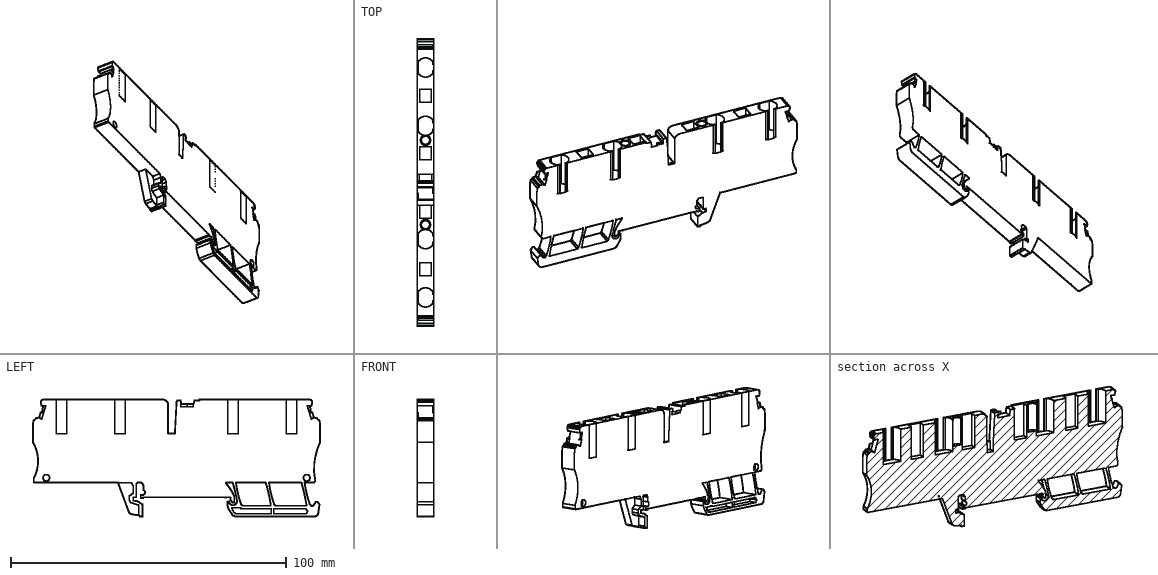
import cadquery as cq

WIDTH = 6.1
LENGTH = 104.4
HEIGHT = 42.6
HALF_LENGTH = LENGTH / 2
LEFT_FACE = -WIDTH / 2
EPS = 0.1

UNDERSIDE_Z = 12.3
PEDESTAL_Z = 7.0
SIDE_TOP_Z = 33.3
SIDE_BOTTOM_Z = 27.0

SLOT_FLOOR_Z = 30.3
SLOT_BACK_Y = 3.0
SLOT_FRONT_Y = 0.6
SLOT_POCKET_WIDTH = 4.4
SLOT_POCKET_BACK_Y = 2.9
SLOT_POCKET_DEPTH = 3.1

LIP = 0.3
END_RECESS_TOP_Z = 40.2
END_RECESS_SPLIT_Z = 37.8
END_RECESS_BOTTOM_Z = 35.4
END_RECESS_TOP_DEPTH = 4.7
END_RECESS_BOTTOM_DEPTH = 3.2
TOP_LEDGE_Z = 40.9
TOP_RECESS_Z = 40.0
TOP_RECESS_BACK_Y = -1.5
TOP_RECESS_SPLIT_Y = -4.0
TOP_RECESS_FRONT_Y = -6.2

FUNNEL_YS = (20.6, 41.7)
FUNNEL_LENGTH = 7.0
FUNNEL_ROUND_DIAMETER = 6.3
FUNNEL_WIDTH = 5.4
FUNNEL_DEPTH = 12.5
FUNNEL_SLIT = 2.3
RELEASE_YS = (10.6, 31.5)
RELEASE_SIZE_X = 4.3
RELEASE_SIZE_Y = 4.8
RELEASE_DEPTH = 12.5
TEST_HOLE_Y = 15.3
TEST_HOLE_DIAMETER = 3.0
TEST_HOLE_RIM_DIAMETER = 3.7
TEST_HOLE_RIM_DEPTH = 0.2
TEST_HOLE_DEPTH = 10.4

PIN_Y = 47.3
PIN_Z = 14.1
PIN_DIAMETER = 2.4
PIN_DEPTH = 1.4

WEB_THICKNESS = WIDTH / 2
FOOT_TOP_Z = 4.0
RIB_THICKNESS = 1.3
RIB_WAIST = 0.16
RIB_LEAN = 1.9
RIB_GUSSET = 0.5
RIB_TOP_YS = (-20.3, -32.3, -45.3)
FOOT_POCKET_BOTTOM_Z = 1.0
FOOT_POCKET_TOP_Z = 2.9


def side_sketch(x=LEFT_FACE):
    """Sketch plane across the width: local axes are Y and Z, extrusion runs toward +X."""
    return cq.Workplane("YZ", origin=(x, 0, 0))


def prism(points, x=LEFT_FACE, width=WIDTH):
    return side_sketch(x).polyline(points).close().extrude(width)


def both_ways(ys):
    return [sign * y for y in ys for sign in (1, -1)]


def housing():
    corner = [
        (48.3, HEIGHT), (48.8, 42.4), (49.3, 42.0), (49.4, 41.5), (49.0, 40.3), (48.4, 40.0),
        (48.7, 39.0), (48.7, 38.2), (49.4, 37.8), (49.9, 36.0), (51.0, 35.8),
        (51.3, 35.3), (52.0, 34.9), (HALF_LENGTH, SIDE_TOP_Z),
    ]
    front_corner = [(-y, z) for y, z in corner]
    slot_and_ledge = [
        (SLOT_BACK_Y, SLOT_FLOOR_Z), (SLOT_FRONT_Y, SLOT_FLOOR_Z), (0.0, 41.8), (-0.3, 42.2), (-1.5, 42.2),
        (-1.9, TOP_LEDGE_Z), (TOP_RECESS_FRONT_Y, TOP_LEDGE_Z), (-6.5, 42.2), (-8.3, 42.2), (-8.3, HEIGHT),
    ]
    pedestal_bottom = [
        (-21.0, 5.1), (-20.5, 5.1), (-19.5, 6.0), (-19.5, PEDESTAL_Z), (-18.2, PEDESTAL_Z), (-17.8, 6.8),
        (-17.5, PEDESTAL_Z), (12.0, PEDESTAL_Z), (12.0, 6.7), (13.0, 6.7), (13.0, 7.9), (12.0, 7.9),
    ]
    return (
        side_sketch()
        .moveTo(5.2, HEIGHT)
        .threePointArc((3.8, 42.1), (SLOT_BACK_Y, 41.1))
        .polyline(slot_and_ledge + front_corner, includeCurrent=True)
        .lineTo(-HALF_LENGTH, SIDE_BOTTOM_Z)
        .threePointArc((-50.4, 21.6), (-50.0, 16.1))
        .lineTo(-50.4, 13.5)
        .threePointArc((-50.2, 12.6), (-49.5, UNDERSIDE_Z))
        .lineTo(-18.0, UNDERSIDE_Z)
        .lineTo(-18.2, 11.9)
        .threePointArc((-20.0, 9.3), (-21.0, 7.4))
        .polyline(pedestal_bottom, includeCurrent=True)
        .threePointArc((11.5, 8.7), (12.0, 9.6))
        .polyline([(12.0, 11.3), (12.6, UNDERSIDE_Z), (51.5, UNDERSIDE_Z), (51.9, 12.6), (51.9, 13.9)],
                  includeCurrent=True)
        .threePointArc((50.3, 19.8), (HALF_LENGTH, SIDE_BOTTOM_Z))
        .polyline(corner[::-1], includeCurrent=True)
        .close()
        .extrude(WIDTH)
    )


def rail_clip():
    """Springy full-width strip backed by a triangular web on the right half."""
    root_z = UNDERSIDE_Z + EPS
    inner_edge = [
        (16.4, UNDERSIDE_Z), (15.7, 11.1), (15.7, 8.6), (17.2, 7.4), (17.2, 6.2), (16.7, 5.1),
        (13.7, 4.2), (13.7, 0.8), (13.4, 0.0),
    ]
    outer_edge = [
        (12.3, 0.0), (12.3, 4.5), (14.2, 5.6), (15.7, 5.8), (15.7, PEDESTAL_Z), (14.6, PEDESTAL_Z),
        (14.6, 11.9), (14.2, UNDERSIDE_Z), (14.2, root_z),
    ]
    strip = prism([(16.4, root_z)] + inner_edge + outer_edge)
    web_outline = [(21.3, UNDERSIDE_Z), (17.2, 1.4), (16.4, 0.8), (13.7, 0.4)]
    web = prism(
        [(15.1, root_z), (21.3, root_z)] + web_outline + [(13.0, 0.4), (13.0, 4.4), (16.2, 5.4), (15.1, 8.3)],
        x=WIDTH / 2 - WEB_THICKNESS, width=WEB_THICKNESS,
    )
    return strip.union(web)


def rib(top_y):
    """Leaning rib, slimmer at mid-height, with a small gusset where it meets the foot bar."""
    root_z = UNDERSIDE_Z + EPS
    gusset_z = FOOT_TOP_Z + RIB_GUSSET
    foot_y = top_y - RIB_LEAN
    mid_y = (top_y + foot_y) / 2
    mid_z = (root_z + FOOT_TOP_Z) / 2
    return (
        side_sketch()
        .moveTo(top_y, root_z)
        .threePointArc((mid_y - RIB_WAIST, mid_z), (foot_y, FOOT_TOP_Z))
        .lineTo(foot_y, FOOT_TOP_Z - EPS)
        .lineTo(foot_y - RIB_THICKNESS - RIB_GUSSET, FOOT_TOP_Z - EPS)
        .lineTo(foot_y - RIB_THICKNESS - RIB_GUSSET, FOOT_TOP_Z)
        .lineTo(foot_y - RIB_THICKNESS, gusset_z)
        .threePointArc((mid_y - RIB_THICKNESS + RIB_WAIST, mid_z), (top_y - RIB_THICKNESS, root_z))
        .close()
        .extrude(WIDTH)
    )


def rail_foot():
    """Hooked foot bar hung from the housing on three leaning ribs, with two side pockets."""
    bar = (
        side_sketch()
        .moveTo(-22.4, FOOT_TOP_Z)
        .lineTo(-48.5, FOOT_TOP_Z)
        .threePointArc((-49.1, 3.9), (-49.8, 4.2))
        .lineTo(-50.3, 5.0)
        .threePointArc((-50.7, 5.4), (-51.2, 5.3))
        .lineTo(-52.0, 4.4)
        .lineTo(-51.5, 1.8)
        .threePointArc((-51.2, 0.6), (-50.3, 0.0))
        .polyline([(-21.3, 0.0), (-20.3, 0.4), (-18.9, 2.7), (-18.5, 3.9), (-18.5, 5.4), (-19.1, 5.6)],
                  includeCurrent=True)
        .threePointArc((-20.7, 4.2), (-21.9, 5.6))
        .lineTo(-22.4, 5.6)
        .close()
        .extrude(WIDTH)
    )
    for top_y in RIB_TOP_YS:
        bar = bar.union(rib(top_y))
    pocket_depth = WIDTH - WEB_THICKNESS
    hook_pocket = prism([
        (-20.0, 3.1), (-20.7, 1.8), (-21.4, FOOT_POCKET_BOTTOM_Z), (-34.3, FOOT_POCKET_BOTTOM_Z),
        (-34.3, FOOT_POCKET_TOP_Z), (-23.4, FOOT_POCKET_TOP_Z), (-23.4, 3.1),
    ], width=pocket_depth)
    end_pocket = prism([
        (-35.3, FOOT_POCKET_TOP_Z), (-35.3, FOOT_POCKET_BOTTOM_Z), (-47.2, FOOT_POCKET_BOTTOM_Z),
        (-47.6, 2.0), (-46.9, FOOT_POCKET_TOP_Z),
    ], width=pocket_depth)
    return bar.cut(hook_pocket).cut(end_pocket)


def end_recess():
    """Slanted marker recess at the -Y end; upper half open to the left, lower half to the right."""
    top_y = END_RECESS_TOP_DEPTH - HALF_LENGTH
    bottom_y = END_RECESS_BOTTOM_DEPTH - HALF_LENGTH
    split_y = (top_y + bottom_y) / 2
    reach = 1.6
    lower_reach = 1.1
    lower_rise = 0.6
    upper = prism([
        (top_y, END_RECESS_TOP_Z), (split_y, END_RECESS_SPLIT_Z),
        (split_y - reach, END_RECESS_SPLIT_Z), (top_y - reach, END_RECESS_TOP_Z),
    ], width=WIDTH - LIP)
    lower = prism([
        (split_y, END_RECESS_SPLIT_Z), (bottom_y, END_RECESS_BOTTOM_Z),
        (bottom_y - lower_reach, END_RECESS_BOTTOM_Z + lower_rise), (split_y - reach, END_RECESS_SPLIT_Z),
    ], x=LEFT_FACE + LIP, width=WIDTH - LIP)
    return upper.union(lower)


def top_recess():
    """Marker recess in the ledge; back half open to the left, front half to the right."""
    back_length = TOP_RECESS_BACK_Y - TOP_RECESS_SPLIT_Y
    front_length = TOP_RECESS_SPLIT_Y - TOP_RECESS_FRONT_Y
    depth = TOP_LEDGE_Z - TOP_RECESS_Z
    width = WIDTH - LIP
    back = cq.Workplane("XY").box(width, back_length, depth, centered=False).translate(
        (LEFT_FACE, TOP_RECESS_SPLIT_Y, TOP_RECESS_Z))
    front = cq.Workplane("XY").box(width, front_length, depth, centered=False).translate(
        (LEFT_FACE + LIP, TOP_RECESS_FRONT_Y, TOP_RECESS_Z))
    return back.union(front)


def slot_pocket():
    length = SLOT_POCKET_BACK_Y - SLOT_FRONT_Y
    return cq.Workplane("XY").box(SLOT_POCKET_WIDTH, length, SLOT_POCKET_DEPTH).translate(
        (0, (SLOT_POCKET_BACK_Y + SLOT_FRONT_Y) / 2, SLOT_FLOOR_Z - SLOT_POCKET_DEPTH / 2))


def top_openings():
    top = cq.Workplane("XY", origin=(0, 0, HEIGHT))
    funnel_points = [(0, y) for y in both_ways(FUNNEL_YS)]
    flats = top.pushPoints(funnel_points).rect(FUNNEL_WIDTH, FUNNEL_LENGTH).extrude(-FUNNEL_DEPTH)
    funnels = top.pushPoints(funnel_points).slot2D(FUNNEL_LENGTH, FUNNEL_ROUND_DIAMETER, 90)
    funnels = funnels.extrude(-FUNNEL_DEPTH).intersect(flats)
    slits = top.pushPoints([(WIDTH / 4, y) for y in both_ways(FUNNEL_YS)])
    slits = slits.rect(WIDTH / 2, FUNNEL_SLIT).extrude(-FUNNEL_DEPTH)
    releases = top.pushPoints([(0, y) for y in both_ways(RELEASE_YS)])
    releases = releases.rect(RELEASE_SIZE_X, RELEASE_SIZE_Y).extrude(-RELEASE_DEPTH)
    test_points = [(0, y) for y in both_ways([TEST_HOLE_Y])]
    holes = top.pushPoints(test_points).circle(TEST_HOLE_DIAMETER / 2).extrude(-TEST_HOLE_DEPTH)
    rims = top.pushPoints(test_points).circle(TEST_HOLE_RIM_DIAMETER / 2).extrude(-TEST_HOLE_RIM_DEPTH)
    return funnels.union(slits).union(releases).union(holes).union(rims)


def pin_holes():
    points = [(y, PIN_Z) for y in both_ways([PIN_Y])]
    return side_sketch().pushPoints(points).circle(PIN_DIAMETER / 2).extrude(PIN_DEPTH)


block = housing().union(rail_clip()).union(rail_foot())
front_recess = end_recess()
back_recess = front_recess.rotate((0, 0, 0), (0, 0, 1), 180)
for cutter in (front_recess, back_recess, top_recess(), slot_pocket(), top_openings(), pin_holes()):
    block = block.cut(cutter)
result = block